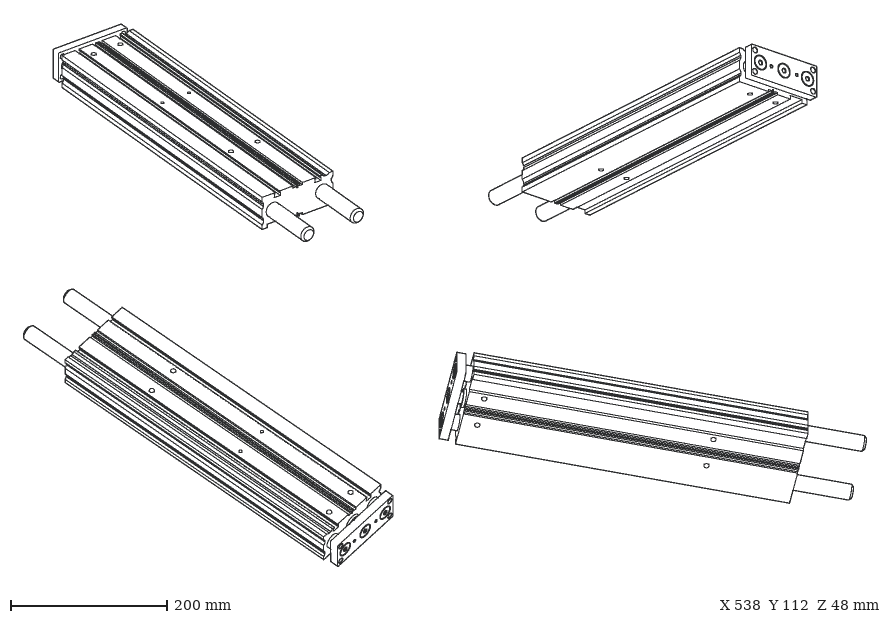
import cadquery as cq
import math


overall_length = 538
plate_thickness = 12
plate_gap = 10
housing_length = 437.5
housing_front = plate_thickness + plate_gap

housing_width = 112
housing_height = 48
housing_top = housing_height / 2
housing_side = housing_width / 2

plate_width = 108.5
plate_height = 44
plate_edge_radius = 1.5
plate_screw_diameter = 7
plate_screw_pitch_y = 96
plate_screw_pitch_z = 30
pin_diameter = 3.5
pin_pitch_y = 42
nose_recess_diameter = 20.2
nose_recess_depth = 0.5
plate_hole_chamfer = 0.5

guide_diameter = 21
guide_pitch = 78
guide_chamfer = 3
rod_nose_diameter = 18.4
piston_rod_diameter = 16
piston_rear_wall = 20
collar_diameter = 24
collar_thickness = 3.5
centre_hole_diameter = 5
centre_hole_depth = 8
centre_hole_tip_angle = 118
centre_hole_chamfer = 0.8

switch_groove_width = 11.2
switch_groove_radius = 7.5
switch_slot_width = 2.5
switch_slot_depth = 2.6
switch_slot_shift = -0.8
side_groove_height = 11.6
top_switch_groove_y = 44.4

t_slot_lip = 2
t_slot_undercut_width = 9.5
t_slot_depth = 7
centre_channel_depth = 3
centre_slit_depth = 5
t_slot_width = 6.5
t_slot_y = 32
centre_channel_width = 15
centre_rib_width = 5.5
centre_slit_width = 1.6
bottom_groove_width = 19.5
bottom_groove_y = -38
bottom_groove_depth = 5

mount_hole_diameter = 6.6
mount_hole_pitch_x = 300
mount_hole_setback = 21
mount_hole_first_x = housing_front + mount_hole_setback
mount_hole_pitch_y = pin_pitch_y
mount_pin_diameter = 4
mount_pin_depth = 8


def rod_along_x(diameter, x_start, x_end, y=0):
    return (
        cq.Workplane("YZ", origin=(x_start, y, 0))
        .circle(diameter / 2)
        .extrude(x_end - x_start)
    )


def housing_bar(width, height, y, z):
    """Rectangular bar centred on (y, z), as long as the housing."""
    return cq.Workplane("YZ", origin=(housing_front, y, z)).rect(width, height).extrude(housing_length)


def top_groove(width, depth, y, cover=0):
    """Bar that cuts the top face at y from a depth of cover down to the given depth."""
    return housing_bar(width, depth - cover, y, housing_top - (cover + depth) / 2)


def t_slot(y):
    mouth = top_groove(t_slot_width, t_slot_depth, y)
    undercut = top_groove(t_slot_undercut_width, t_slot_depth, y, t_slot_lip)
    return mouth.union(undercut)


def switch_groove():
    """Shallow round groove with a narrow slot, cut into a surface at Z = 0 and centred on Y = 0."""
    centre_height = math.sqrt(switch_groove_radius**2 - (switch_groove_width / 2) ** 2)
    round_part = (
        cq.Workplane("YZ", origin=(housing_front, 0, centre_height))
        .circle(switch_groove_radius)
        .extrude(housing_length)
    )
    return round_part.union(housing_bar(switch_slot_width, 2 * switch_slot_depth, switch_slot_shift, 0))


def centre_channel():
    """Channel in the top face that leaves a slit rib along its middle."""
    rib = top_groove(centre_rib_width, centre_channel_depth, 0)
    slit = top_groove(centre_slit_width, centre_slit_depth, 0)
    return top_groove(centre_channel_width, centre_channel_depth, 0).cut(rib).union(slit)


def centre_hole(y):
    """Blind hole with a drill-point bottom in the front end of a rod."""
    radius = centre_hole_diameter / 2
    tip_length = radius / math.tan(math.radians(centre_hole_tip_angle / 2))
    return (
        cq.Workplane("XY", origin=(0, y, 0))
        .polyline(
            [
                (0, 0),
                (0, radius + centre_hole_chamfer),
                (centre_hole_chamfer, radius),
                (centre_hole_depth, radius),
                (centre_hole_depth + tip_length, 0),
            ]
        )
        .close()
        .revolve(360, (0, 0), (1, 0))
    )


def rod_nose(y):
    """Front end of a rod, seated in the plate."""
    return rod_along_x(rod_nose_diameter, 0, plate_thickness, y).cut(centre_hole(y))


def make_guide_rod(y):
    rod = rod_along_x(guide_diameter, plate_thickness, overall_length, y)
    return rod.faces(">X").chamfer(guide_chamfer).union(rod_nose(y))


def make_piston_rod():
    rear = housing_front + housing_length - piston_rear_wall
    return rod_along_x(piston_rod_diameter, plate_thickness, rear).union(rod_nose(0))


def make_collar():
    collar = rod_along_x(collar_diameter, housing_front - collar_thickness, housing_front)
    return collar.cut(rod_along_x(piston_rod_diameter, 0, housing_front))


def plate_hole(diameter, y, z):
    """Through hole in the plate, chamfered at the front face."""
    mouth = (
        cq.Workplane("YZ", origin=(0, y, z))
        .circle(diameter / 2 + plate_hole_chamfer)
        .workplane(offset=plate_hole_chamfer)
        .circle(diameter / 2)
        .loft()
    )
    return rod_along_x(diameter, 0, plate_thickness, y).translate((0, 0, z)).union(mouth)


def make_plate():
    plate = (
        cq.Workplane("YZ")
        .rect(plate_width, plate_height)
        .extrude(plate_thickness)
        .edges("|X")
        .fillet(plate_edge_radius)
    )
    for y in (-plate_screw_pitch_y / 2, plate_screw_pitch_y / 2):
        for z in (-plate_screw_pitch_z / 2, plate_screw_pitch_z / 2):
            plate = plate.cut(plate_hole(plate_screw_diameter, y, z))
    for y in (-pin_pitch_y / 2, pin_pitch_y / 2):
        plate = plate.cut(plate_hole(pin_diameter, y, 0))
    for y in (-guide_pitch / 2, 0, guide_pitch / 2):
        plate = plate.cut(rod_along_x(rod_nose_diameter, 0, plate_thickness, y))
        plate = plate.cut(rod_along_x(nose_recess_diameter, 0, nose_recess_depth, y))
    return plate


def make_housing():
    housing = housing_bar(housing_width, housing_height, 0, 0)

    housing = housing.cut(switch_groove().translate((0, top_switch_groove_y, housing_top)))
    for y in (-t_slot_y, t_slot_y):
        housing = housing.cut(t_slot(y))
    channel = centre_channel()
    housing = housing.cut(channel).cut(channel.mirror("XY"))
    housing = housing.cut(top_groove(bottom_groove_width, bottom_groove_depth, bottom_groove_y).mirror("XY"))

    for turn, y in ((90, -housing_side), (-90, housing_side)):
        groove = switch_groove().rotate((0, 0, 0), (1, 0, 0), turn).translate((0, y, side_groove_height))
        housing = housing.cut(groove).cut(groove.mirror("XY"))

    for y in (-mount_hole_pitch_y / 2, mount_hole_pitch_y / 2):
        for x in (mount_hole_first_x, mount_hole_first_x + mount_hole_pitch_x):
            hole = cq.Workplane("XY", origin=(x, y, -housing_top)).circle(mount_hole_diameter / 2)
            housing = housing.cut(hole.extrude(housing_height))
        pin_x = mount_hole_first_x + mount_hole_pitch_x / 2
        pin_hole = cq.Workplane("XY", origin=(pin_x, y, housing_top)).circle(mount_pin_diameter / 2)
        housing = housing.cut(pin_hole.extrude(-mount_pin_depth))

    rear = housing_front + housing_length
    for y in (-guide_pitch / 2, guide_pitch / 2):
        housing = housing.cut(rod_along_x(guide_diameter, housing_front, rear, y))
    return housing.cut(rod_along_x(piston_rod_diameter, housing_front, rear - piston_rear_wall))


guide_rods = [make_guide_rod(y) for y in (-guide_pitch / 2, guide_pitch / 2)]
result = cq.Compound.makeCompound(
    [
        make_housing().val(),
        make_plate().val(),
        make_piston_rod().val(),
        make_collar().val(),
        *[rod.val() for rod in guide_rods],
    ]
)